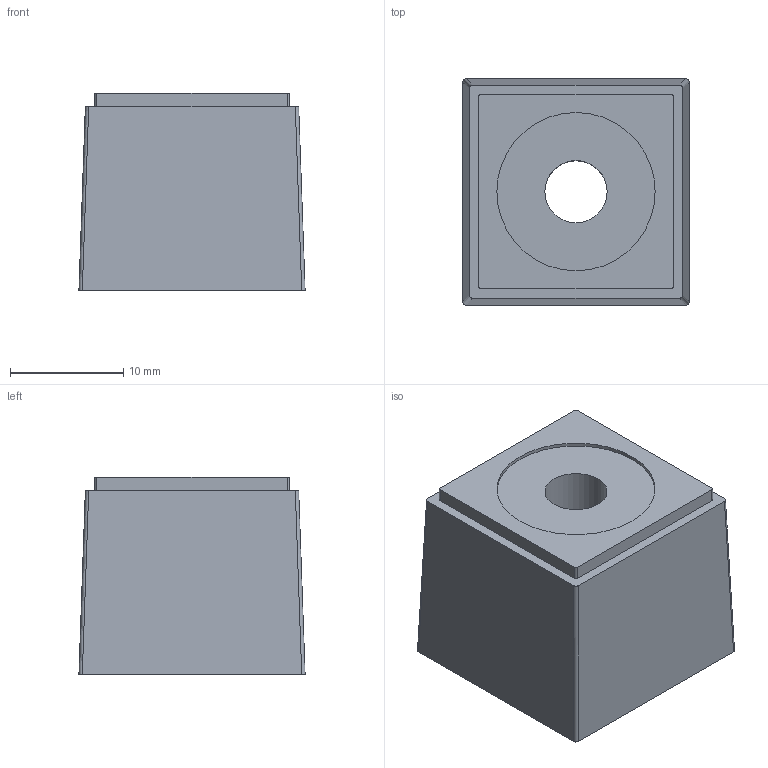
import cadquery as cq
import math

base_width = 20.0
total_height = 17.5

draft_angle = 2.0
body_edge_radius = 0.3

step_width = 17.2
step_height = 1.2
step_edge_radius = 0.2

recess_diameter = 14.0
recess_depth = 0.3
hole_diameter = 5.5

body_height = total_height - step_height
body_top_width = base_width - 2 * body_height * math.tan(math.radians(draft_angle))


def make_body():
    """Square body narrowing upward, with its four slanted edges rounded."""
    body = (
        cq.Workplane("XY")
        .rect(base_width, base_width)
        .workplane(offset=body_height)
        .rect(body_top_width, body_top_width)
        .loft(ruled=True)
    )
    slanted_edges = body.edges("not(#Z)")
    return slanted_edges.fillet(body_edge_radius)


def make_step():
    """Straight-sided square step with rounded vertical edges."""
    step = cq.Workplane("XY", origin=(0, 0, body_height)).rect(step_width, step_width).extrude(step_height)
    return step.edges("|Z").fillet(step_edge_radius)


def cut_recessed_hole(part):
    """Through hole with a shallow wide recess around its top end."""
    return part.faces(">Z").workplane(origin=(0, 0)).cboreHole(hole_diameter, recess_diameter, recess_depth)


result = cut_recessed_hole(make_body().union(make_step()))